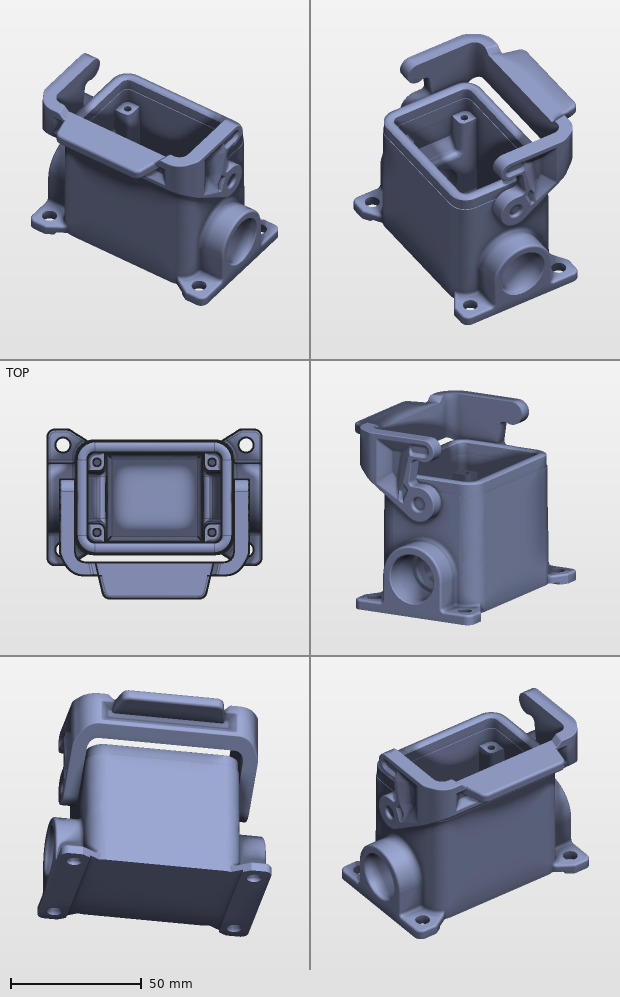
import cadquery as cq
import math

overall_x = 82.0
overall_z = 69.2
end_x = overall_x / 2

flange_half_y = 26.0
flange_top_z = 3.9
flange_corner_radius = 3.0
flange_edge_radius = 0.9
flange_flat_x = 32.8
flange_root_x = 25.2
flange_root_y = 21.2
mount_hole_x = 35.0
mount_hole_y = 20.0
mount_hole_diameter = 5.7
foot_inner_x = 29.8

body_bottom_z = 1.0
shoulder_z = 47.3
body_half_x = 30.25
body_half_y = 21.85
body_corner_radius = 7.2
body_draft = 0.4
lip_half_x = 29.65
lip_half_y = 21.3
lip_corner_radius = 6.9
body_top_z = 52.55
rim_rise = 0.7
root_fillet = 1.3

mouth_half_x = 25.7
mouth_half_y = 17.35
mouth_corner_radius = 2.9
mouth_step = 0.2
post_top_z = 41.0
floor_z = 5.0
well_top_half_x = 19.1
well_top_half_y = 17.1
well_floor_half_x = 18.1
well_floor_half_y = 16.6
well_floor_fillet = 1.8
shelf_z = 27.0
shelf_ramp_top_z = 31.0
gap_top_half_y = 10.1
gap_shelf_half_y = 9.1
gap_shelf_half_x = 21.8
gap_fillet = 1.2
post_corner_radius = 2.2
screw_x = 22.0
screw_y = 13.4
screw_hole_diameter = 3.0
screw_hole_depth = 12.0

entry_z = 15.0
hub_radius = 13.0
entry_diameter = 19.0
entry_chamfer = 0.4
entry_depth = 17.0
passage_diameter = 16.0

lever_half_x = 36.2
lever_inner_x = 30.4
lever_front_y = -29.9
lever_inner_y = -24.8
lever_side_radius = 5.8
lever_front_radius = 8.0
corner_flat_angle = math.radians(30.0)
corner_start_y = -20.5
lever_inner_radius = 4.0
lever_edge_radius = 0.4
pivot_z = 43.4
pivot_boss_radius = 6.9
pivot_pin_radius = 3.0
pivot_dimple_radius = 2.5
pivot_dimple_depth = 1.5
pivot_dimple_rim_radius = 0.9
lever_heel_z = 55.9
hook_radius = 4.5
hook_y = 2.4
hook_z = overall_z - hook_radius
hook_root_y = -2.8
hook_root_z = 60.9
hook_root_radius = 2.0
neck_y = -4.3
neck_radius = 1.6

side_pocket_depth = 3.0
side_pocket_mouth = [
    (-2.0, 67.1), (-18.4, 67.1), (-18.4, 49.4), (-8.9, 44.1), (-6.7, 51.6), (-4.4, 61.0)
]
side_pocket_floor = [
    (-9.0, 62.5), (-13.1, 62.5), (-13.1, 54.0), (-11.4, 51.8), (-10.8, 52.5), (-9.3, 61.5)
]
side_pocket_radius = 1.0
side_pocket_brow_radius = 0.8
shallow_pocket_depth = 1.2
shallow_pocket_slope = 48.0
nib_pocket_outline = [(-4.2, 48.6), (-6.7, 43.0), (-8.5, 43.8), (-9.5, 48.0), (-6.7, 51.6)]
hook_pocket_half_height = 2.6
hook_pocket_start_y = 4.9
hook_pocket_end_y = -5.0
hook_pocket_z = 64.75

grip_top_z = 67.0
grip_root_bottom_z = 62.3
grip_tip_bottom_z = 62.8
grip_tip_y = -38.75
grip_half_x_inner = 22.6
grip_half_x_tip = 19.35
grip_corner_radius = 3.0
grip_edge_radius = 1.1
notch_flare = 2.2
notch_radius = 1.2
front_pocket_half_x = 26.4
front_pocket_bottom_z = 57.6
front_pocket_top_z = 65.8
front_pocket_floor_half_x = 23.5
front_pocket_floor_bottom_z = 60.4
front_pocket_radius = 0.8
pocket_brow_radius = 0.6
front_pocket_floor_top_z = 63.5
front_pocket_depth = 2.5


def centred_box(half_x, half_y, bottom_z, top_z):
    """Box centred on the Z axis between two heights."""
    height = top_z - bottom_z
    return (
        cq.Workplane("XY")
        .workplane(offset=bottom_z)
        .rect(2 * half_x, 2 * half_y)
        .extrude(height)
    )


def rounded_block(half_x, half_y, radius, bottom_z, top_z, draft=0.0):
    """Block with rounded vertical corners and an optional draft angle."""
    outline = cq.Sketch().rect(2 * half_x, 2 * half_y).vertices().fillet(radius)
    return (
        cq.Workplane("XY")
        .workplane(offset=bottom_z)
        .placeSketch(outline)
        .extrude(top_z - bottom_z, taper=draft)
    )


def drafted_well(top_half_x, top_half_y, top_z, low_half_x, low_half_y, low_z, fillet):
    """Cutter that narrows from a top rectangle to a floor with rounded edges."""
    return (
        cq.Workplane("XY")
        .workplane(offset=low_z)
        .rect(2 * low_half_x, 2 * low_half_y)
        .workplane(offset=top_z - low_z)
        .rect(2 * top_half_x, 2 * top_half_y)
        .loft(ruled=True)
        .faces("<Z")
        .edges()
        .fillet(fillet)
    )


def both_ends(shape):
    """The shape together with its mirror image across the YZ plane."""
    return shape.union(shape.mirror("YZ"))


def tapered_recess(surface, mouth, floor, depth):
    """Recess cutter with sloped walls; mouth and floor outlines have matching corners."""
    return (
        surface
        .polyline(mouth)
        .close()
        .workplane(offset=-depth)
        .polyline(floor)
        .close()
        .loft(ruled=True)
    )


def make_flange_end():
    """Foot plate at the +X end with two mounting ears, carrying the cable entry hub."""
    outline = [
        (0, -flange_root_y),
        (flange_root_x, -flange_root_y),
        (flange_flat_x, -flange_half_y),
        (end_x, -flange_half_y),
        (end_x, flange_half_y),
        (flange_flat_x, flange_half_y),
        (flange_root_x, flange_root_y),
        (0, flange_root_y),
    ]
    plate = cq.Workplane("XY").polyline(outline).close().extrude(flange_top_z)
    plate = plate.edges("|Z and >X").fillet(flange_corner_radius)
    hub = (
        cq.Workplane("YZ")
        .moveTo(-hub_radius, 0)
        .lineTo(-hub_radius, entry_z)
        .threePointArc((0, entry_z + hub_radius), (hub_radius, entry_z))
        .lineTo(hub_radius, 0)
        .close()
        .extrude(end_x)
    )
    end = plate.union(hub)
    foot_of_hub = cq.selectors.BoxSelector(
        (0, -hub_radius - 1, flange_top_z - 1),
        (end_x, hub_radius + 1, flange_top_z + 1),
    )
    return end.edges("|X").edges(foot_of_hub).fillet(root_fillet)


def blend_end(shell, side):
    """Fillet one end's flange and hub into the body, then round its upper outer edges."""
    def mirrored_box(low, high):
        low_x, high_x = sorted((side * low[0], side * high[0]))
        return cq.selectors.BoxSelector((low_x, *low[1:]), (high_x, *high[1:]))

    margin = 0.1
    root_z = flange_top_z - margin
    hub_top_z = entry_z + hub_radius + root_fillet
    inside_x = body_half_x - 1.2 * body_corner_radius
    ear_y = hub_radius + root_fillet
    roots = mirrored_box(
        (inside_x, -body_half_y, root_z), (body_half_x + margin, body_half_y, hub_top_z)
    )
    shell = shell.edges(roots).fillet(root_fillet)
    rims = mirrored_box(
        (end_x - margin, -flange_half_y, root_z), (end_x + margin, flange_half_y, hub_top_z)
    )
    for low_y, high_y in ((ear_y, flange_half_y), (-flange_half_y, -ear_y)):
        rims = rims + mirrored_box(
            (inside_x, low_y + margin, flange_top_z - margin),
            (end_x + margin, high_y - margin, flange_top_z + margin),
        )
    return shell.edges(rims).fillet(flange_edge_radius)


def make_rim():
    """Crowned ring that caps the housing wall."""
    wall = lip_half_x - mouth_half_x
    middle_x = (lip_half_x + mouth_half_x) / 2
    middle_y = (lip_half_y + mouth_half_y) / 2
    middle_radius = (lip_corner_radius + mouth_corner_radius) / 2
    base_z = body_top_z - rim_rise
    path = rounded_block(middle_x, middle_y, middle_radius, base_z, body_top_z).faces("<Z").wires()
    profile = (
        cq.Workplane("XZ", origin=(middle_x, 0, base_z))
        .moveTo(-wall / 2, 0)
        .threePointArc((0, rim_rise), (wall / 2, 0))
        .close()
    )
    return profile.sweep(path)


def make_shelf_gap():
    """Cutter across the cavity between the posts, with a ramp up to each end wall."""
    gap = (
        cq.Workplane("XY")
        .workplane(offset=shelf_z)
        .rect(2 * mouth_half_x, 2 * gap_shelf_half_y)
        .workplane(offset=post_top_z - shelf_z)
        .rect(2 * mouth_half_x, 2 * gap_top_half_y)
        .loft(ruled=True)
    )
    ramps = (
        cq.Workplane("XZ")
        .moveTo(-gap_shelf_half_x, shelf_z)
        .lineTo(gap_shelf_half_x, shelf_z)
        .lineTo(mouth_half_x, shelf_ramp_top_z)
        .lineTo(mouth_half_x, post_top_z)
        .lineTo(-mouth_half_x, post_top_z)
        .lineTo(-mouth_half_x, shelf_ramp_top_z)
        .close()
        .extrude(body_half_y, both=True)
    )
    floor_and_ramps = cq.selectors.BoxSelector(
        (-mouth_half_x, -mouth_half_y, shelf_z - gap_fillet),
        (mouth_half_x, mouth_half_y, shelf_ramp_top_z - gap_fillet),
    )
    return gap.intersect(ramps).edges(floor_and_ramps).fillet(gap_fillet)


def hollow_cavity(housing):
    """Cut the mouth, the central well, the shelves between the posts and the screw holes."""
    mouth = rounded_block(mouth_half_x, mouth_half_y, mouth_corner_radius, shoulder_z, overall_z)
    throat = rounded_block(
        mouth_half_x - mouth_step, well_top_half_y, mouth_corner_radius, post_top_z, shoulder_z
    )
    well = drafted_well(
        well_top_half_x, well_top_half_y, post_top_z,
        well_floor_half_x, well_floor_half_y, floor_z, well_floor_fillet,
    )
    well_and_gap = well.union(make_shelf_gap())
    screw_holes = (
        cq.Workplane("XY")
        .workplane(offset=post_top_z - screw_hole_depth)
        .rect(2 * screw_x, 2 * screw_y, forConstruction=True)
        .vertices()
        .circle(screw_hole_diameter / 2)
        .extrude(screw_hole_depth)
    )
    housing = housing.cut(mouth).cut(throat).cut(well_and_gap).cut(screw_holes)
    near_post_edges = cq.selectors.BoxSelector(
        (-mouth_half_x, -gap_top_half_y, shelf_z + gap_fillet),
        (mouth_half_x, gap_top_half_y, post_top_z - 0.1),
    )
    inner_edges = cq.selectors.BoxSelector(
        (-well_top_half_x - 0.2, -gap_top_half_y, shelf_z),
        (well_top_half_x + 0.2, gap_top_half_y, post_top_z),
    )
    return housing.edges(near_post_edges).edges(inner_edges).fillet(post_corner_radius)


def x_cylinder(diameter, half_length, y, z):
    """Cylinder along X, centred on the YZ plane."""
    return cq.Workplane("YZ").center(y, z).circle(diameter / 2).extrude(half_length, both=True)


def drill_housing(housing):
    """Cable entries through both hubs, screw holes in the ears, relief between the feet."""
    bore = x_cylinder(entry_diameter, end_x, 0, entry_z)
    bore = bore.cut(centred_box(end_x - entry_depth, body_half_y, 0, overall_z))
    passage = x_cylinder(passage_diameter, end_x, 0, entry_z)
    mount_holes = (
        cq.Workplane("XY")
        .rect(2 * mount_hole_x, 2 * mount_hole_y, forConstruction=True)
        .vertices()
        .circle(mount_hole_diameter / 2)
        .extrude(flange_top_z)
    )
    relief = centred_box(foot_inner_x, flange_half_y, 0, body_bottom_z)
    housing = housing.cut(bore)
    for x in (-end_x, end_x):
        bore_edge = cq.selectors.NearestToPointSelector((x, 0, entry_z))
        housing = housing.edges("%CIRCLE").edges(bore_edge).chamfer(entry_chamfer)
    return housing.cut(passage).cut(mount_holes).cut(relief)


def make_housing():
    """Complete housing without the lever."""
    body = rounded_block(
        body_half_x, body_half_y, body_corner_radius, body_bottom_z, shoulder_z, body_draft
    )
    end = make_flange_end()
    shell = body.union(end).union(end.mirror("YZ"))
    for side in (1, -1):
        shell = blend_end(shell, side)
    lip = rounded_block(
        lip_half_x, lip_half_y, lip_corner_radius, shoulder_z, body_top_z - rim_rise
    )
    housing = hollow_cavity(shell.union(lip))
    return drill_housing(housing).union(make_rim())


def lever_profile():
    """Side outline of the lever as a prism across the full width, hook at the back."""
    reach_y = -lever_front_y
    rise_z = lever_heel_z - pivot_z
    tangent_angle = math.atan2(rise_z, lever_front_y) + math.acos(
        pivot_boss_radius / math.hypot(reach_y, rise_z)
    )
    tangent_y = pivot_boss_radius * math.cos(tangent_angle)
    tangent_z = pivot_z + pivot_boss_radius * math.sin(tangent_angle)
    boss_top_z = pivot_z + pivot_boss_radius
    hook_meet_y = hook_y - math.sqrt(hook_radius**2 - (hook_z - hook_root_z) ** 2)
    prism = (
        cq.Workplane("YZ")
        .moveTo(hook_y, overall_z)
        .lineTo(lever_front_y, overall_z)
        .lineTo(lever_front_y, lever_heel_z)
        .lineTo(tangent_y, tangent_z)
        .threePointArc((pivot_boss_radius, pivot_z), (0, boss_top_z))
        .lineTo(neck_y, boss_top_z)
        .lineTo(hook_root_y, hook_root_z)
        .lineTo(hook_meet_y, hook_root_z)
        .threePointArc((hook_y + hook_radius, hook_z), (hook_y, overall_z))
        .close()
        .extrude(lever_half_x, both=True)
    )
    neck = cq.selectors.NearestToPointSelector((0, neck_y, boss_top_z))
    prism = prism.edges(neck).fillet(neck_radius)
    hook_root = cq.selectors.NearestToPointSelector((0, hook_root_y, hook_root_z))
    return prism.edges(hook_root).fillet(hook_root_radius)


def lever_plan():
    """U-shaped plan of the lever, as a prism over the full height."""
    back_y = hook_y + 2 * hook_radius
    across = math.cos(corner_flat_angle)
    along = math.sin(corner_flat_angle)
    flat_start_x = lever_half_x - lever_side_radius * (1 - across)
    flat_start_y = corner_start_y - lever_side_radius * along
    flat_end_y = lever_front_y + lever_front_radius * (1 - along)
    flat_end_x = flat_start_x - (flat_start_y - flat_end_y) * math.tan(corner_flat_angle)
    front_flat_x = flat_end_x - lever_front_radius * across
    half = (
        cq.Workplane("XY")
        .moveTo(0, back_y)
        .lineTo(lever_half_x, back_y)
        .lineTo(lever_half_x, corner_start_y)
        .tangentArcPoint((flat_start_x, flat_start_y), relative=False)
        .lineTo(flat_end_x, flat_end_y)
        .tangentArcPoint((front_flat_x, lever_front_y), relative=False)
        .lineTo(0, lever_front_y)
        .close()
        .extrude(overall_z)
    )
    outer = both_ends(half)
    inner = (
        cq.Workplane("XY")
        .rect(2 * lever_inner_x, back_y - lever_inner_y)
        .extrude(overall_z)
        .translate((0, (back_y + lever_inner_y) / 2, 0))
        .edges("|Z and <Y")
        .fillet(lever_inner_radius)
    )
    return outer.cut(inner)


def cut_side_pockets(lever):
    """Pockets in the outside of both arms: deep centre with a rounded brow, shallow hook and nib."""
    surface = cq.Workplane("YZ", origin=(lever_half_x, 0, 0))
    deep = tapered_recess(surface, side_pocket_mouth, side_pocket_floor, side_pocket_depth)
    deep = deep.edges("not >X").fillet(side_pocket_radius)
    lever = lever.cut(both_ends(deep))
    top_back, top_front = side_pocket_mouth[:2]
    brow_y = (top_back[0] + top_front[0]) / 2
    for x in (-lever_half_x, lever_half_x):
        brow = cq.selectors.NearestToPointSelector((x, brow_y, top_back[1]))
        lever = lever.edges(brow).fillet(side_pocket_brow_radius)
    nib = surface.polyline(nib_pocket_outline).close()
    nib = nib.extrude(-shallow_pocket_depth, taper=shallow_pocket_slope)
    hook_length = hook_pocket_start_y - hook_pocket_end_y
    hook = (
        surface.center((hook_pocket_start_y + hook_pocket_end_y) / 2, hook_pocket_z)
        .slot2D(hook_length, 2 * hook_pocket_half_height)
        .extrude(-shallow_pocket_depth, taper=shallow_pocket_slope)
    )
    return lever.cut(both_ends(nib.union(hook)))


def grip_half_x(y):
    """Half width of the tapering grip at a given Y."""
    fraction = (lever_inner_y - y) / (lever_inner_y - grip_tip_y)
    return grip_half_x_inner + fraction * (grip_half_x_tip - grip_half_x_inner)


def grip_outline(back_y, front_y, flare):
    """Corner points of the tapering grip plan, widened by the flare."""
    back = grip_half_x(back_y) + flare
    front = grip_half_x(front_y) + flare
    return [(-front, front_y), (front, front_y), (back, back_y), (-back, back_y)]


def make_grip():
    """Finger grip standing out from the front wall of the lever."""
    root_y = lever_front_y + front_pocket_depth
    plan = (
        cq.Workplane("XY")
        .polyline(grip_outline(root_y, grip_tip_y, 0))
        .close()
        .extrude(grip_top_z)
        .edges("|Z and <Y")
        .fillet(grip_corner_radius)
    )
    side_outline = [
        (root_y, grip_root_bottom_z),
        (root_y, grip_top_z),
        (grip_tip_y, grip_top_z),
        (grip_tip_y, grip_tip_bottom_z),
    ]
    side = cq.Workplane("YZ").polyline(side_outline).close().extrude(lever_half_x, both=True)
    grip = plan.intersect(side)
    return grip.faces("<Y").edges("|X").fillet(grip_edge_radius)


def make_notch():
    """Flared notch that lowers the front wall to the top of the grip."""
    return (
        cq.Workplane("XY")
        .workplane(offset=grip_top_z)
        .polyline(grip_outline(lever_inner_y, lever_front_y, 0))
        .close()
        .workplane(offset=overall_z - grip_top_z)
        .polyline(grip_outline(lever_inner_y, lever_front_y, notch_flare))
        .close()
        .loft(ruled=True)
    )


def rectangle(half_x, bottom_z, top_z):
    """Corner points of an upright rectangle centred on X."""
    return [(-half_x, bottom_z), (half_x, bottom_z), (half_x, top_z), (-half_x, top_z)]


def make_lever():
    """Locking lever with its pivot pins."""
    lever = lever_profile().intersect(lever_plan())
    lever = lever.cut(make_notch())
    notch_brow = cq.selectors.BoxSelector(
        (-mouth_half_x, lever_front_y, overall_z - 0.1),
        (mouth_half_x, lever_inner_y, overall_z + 0.1),
    )
    lever = lever.edges(notch_brow).edges("not |X").fillet(notch_radius)
    lever = lever.faces("<X or >X").edges().fillet(lever_edge_radius)
    front_pocket = tapered_recess(
        cq.Workplane("XZ", origin=(0, lever_front_y, 0)),
        rectangle(front_pocket_half_x, front_pocket_bottom_z, front_pocket_top_z),
        rectangle(
            front_pocket_floor_half_x, front_pocket_floor_bottom_z, front_pocket_floor_top_z
        ),
        front_pocket_depth,
    )
    front_pocket = front_pocket.edges("not <Y").fillet(front_pocket_radius)
    lever = lever.cut(front_pocket)
    pocket_mouth = cq.selectors.BoxSelector(
        (-front_pocket_half_x - pocket_brow_radius, lever_front_y - 0.1, front_pocket_bottom_z - 0.1),
        (front_pocket_half_x + pocket_brow_radius, lever_front_y + 0.1, front_pocket_top_z + 0.1),
    )
    lever = lever.edges(pocket_mouth).fillet(pocket_brow_radius).union(make_grip())
    lever = cut_side_pockets(lever)
    dimple = (
        cq.Workplane("YZ", origin=(lever_half_x, 0, pivot_z))
        .circle(pivot_dimple_radius)
        .extrude(-pivot_dimple_depth)
    )
    pin = (
        cq.Workplane("YZ", origin=(mouth_half_x, 0, pivot_z))
        .circle(pivot_pin_radius)
        .extrude(lever_half_x - pivot_dimple_depth - mouth_half_x)
    )
    lever = lever.cut(both_ends(dimple))
    for x in (-lever_half_x, lever_half_x):
        rim = cq.selectors.NearestToPointSelector((x, 0, pivot_z))
        lever = lever.edges("%CIRCLE").edges(rim).fillet(pivot_dimple_rim_radius)
    return lever.union(both_ends(pin))


result = make_housing().union(make_lever())